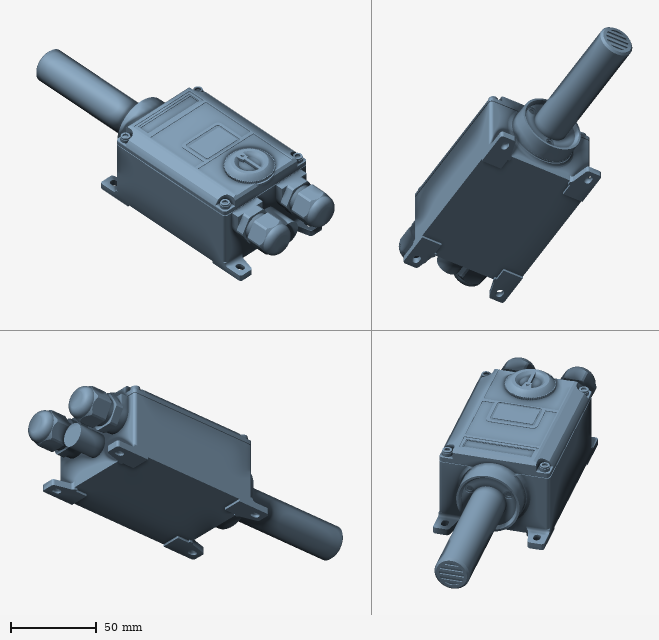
import cadquery as cq
import math


HOUSING_X0 = 91.0
HOUSING_X1 = 182.4
HOUSING_LENGTH = HOUSING_X1 - HOUSING_X0
HOUSING_MID_X = (HOUSING_X0 + HOUSING_X1) / 2
WIDTH = 67.3
HALF_WIDTH = WIDTH / 2
FLOOR_Z = 1.5
SEAM_Z = 41.7
SEAM_HEIGHT = 0.6
SEAM_DEPTH = 0.5
CORNER_RADIUS = 2.1
LID_TOP_Z = 51.3
LID_SIDE_Z = 44.7
LID_SHOULDER_INSET = 2.5
LID_SHOULDER_Z = 48.3
LID_BULGE_INSET = 1.0
LID_KINK_INSET = 8.8
LID_KINK_Z = 50.9
LID_TOP_INSET = 10.3
LID_END_CHAMFER = 2.0

SCREW_INSET = 4.0
SCREW_POCKET_DIAMETER = 8.5
SCREW_POCKET_Z = 45.1
SCREW_FLANGE_DIAMETER = 6.2
SCREW_HEAD_DIAMETER = 5.5
SCREW_HEAD_Z = 48.3
SCREW_FLANGE_HEIGHT = 2.1
SCREW_SOCKET_DIAMETER = 3.5
SCREW_SOCKET_DEPTH = 1.3

PANEL_DEPTH = 0.5
PANEL_HALF_WIDTH = 22.7
LABEL_PANEL_X = (95.1, 107.0)
LABEL_WINDOW_X = (96.6, 105.0)
LABEL_X = (98.0, 104.8)
LABEL_WINDOW_HALF_WIDTH = 21.0
LABEL_HALF_WIDTH = 20.5
MIDDLE_PANEL_X = (108.8, 146.0)
KNOB_PANEL_X = (148.4, 180.9)
BUTTON_PAD_X = (126.1, 147.5)
BUTTON_PAD_HALF_WIDTH = 15.6
BUTTON_PAD_RADIUS = 3.0
BUTTON_SEAT_X = (128.0, 147.5)
BUTTON_SEAT_HALF_WIDTH = 13.7
BUTTON_SEAT_RADIUS = 2.1
BUTTON_X = (130.2, 145.8)
BUTTON_HALF_WIDTH = 12.5
BUTTON_RADIUS = 1.0

FOOT_REACH = 13.0
FOOT_HEIGHT = 4.0
FOOT_TIP_WIDTH = 9.6
FOOT_ROOT_WIDTH = 12.8
FOOT_ROOT_FLARE = 1.3
FOOT_CORNER_RADIUS = 1.7
FOOT_FILLET_RADIUS = 2.1
PAD_UNDER_HOUSING = 10.3
FOOT_SLOT_LENGTH = 6.0
FOOT_SLOT_WIDTH = 4.3
FOOT_SLOT_REACH = 6.8
FOOT_SLOT_INSET = 5.8

TUBE_Z = 27.0
TUBE_DIAMETER = 21.4
TUBE_TIP_DIAMETER = 18.8
GRILLE_DIAMETER = 15.0
GRILLE_PITCH = 3.5
GRILLE_SLOT_WIDTH = 1.7
GRILLE_DEPTH = 0.9
GRILLE_SLOTS_PER_SIDE = 2
COLLAR_X0 = 77.6
COLLAR_TIP_DIAMETER = 38.5
COLLAR_ROOT_DIAMETER = 39.3
COLLAR_STEP_DIAMETER = 40.6
COLLAR_STEP_LENGTH = 1.7
COLLAR_FLARE_DIAMETER = 45.0
COLLAR_FLARE_LENGTH = 2.8
COLLAR_RECESS_MOUTH = 36.0
COLLAR_RECESS_FLOOR = 33.0
COLLAR_RECESS_DEPTH = 2.1
COLLAR_SCREW_CIRCLE = 27.2
COLLAR_SCREW_DIAMETER = 5.5
COLLAR_SOCKET_DIAMETER = 3.5
COLLAR_SCREW_DEPTH = 0.6
COLLAR_SCREW_ANGLES = (30, 150, 270)

KNOB_X = 168.5
KNOB_TOP_Z = 56.0
KNOB_DIAMETER = 30.4
KNOB_FLANGE_Z = 49.0
KNOB_FLANGE_HEIGHT = 1.5
KNOB_GAP_DIAMETER = 28.2
KNURL_Z = 51.3
KNURL_HEIGHT = 1.7
KNURL_DEPTH = 0.6
KNURL_TEETH = 72
KNOB_TOP_DIAMETER = 22.2
KNOB_SHOULDER_DIAMETER = 26.0
KNOB_SHOULDER_Z = 54.7
DISH_DIAMETER = 18.0
DISH_FLOOR_DIAMETER = 12.6
DISH_DEPTH = 2.1
BAR_WIDTH = 2.0
POINTER_WIDTH = 6.0
POINTER_END_WIDTH = 3.8
POINTER_LENGTH = 5.5
MARK_RADIUS = 1.5
MARK_DEPTH = 0.9

GLAND_Y = 18.0
GLAND_Z = 31.5
GLAND_BOSS_WIDTH = 20.0
GLAND_BOSS_X1 = 187.5
GLAND_NUT_X1 = 192.6
GLAND_NECK_DIAMETER = 17.5
GLAND_CAP_X0 = 196.5
GLAND_CAP_X1 = 213.8
GLAND_FLATS = 20.0
GLAND_CORNERS = 22.5
GLAND_DOME_LENGTH = 5.1
GLAND_DOME_DIAMETER = 19.9
GLAND_BEVEL_LENGTH = 2.0
GLAND_DOME_FACE_DIAMETER = 11.1
STUB_DIAMETER = 15.0
STUB_Z = 20.7
STUB_X1 = 201.2


def box(x_range, half_width, z0, z1, radius=0):
    """Box over an X range, centred on Y, with optional round vertical edges."""
    length = x_range[1] - x_range[0]
    solid = cq.Workplane("XY").box(length, 2 * half_width, z1 - z0, centered=(False, True, False))
    if radius:
        solid = solid.edges("|Z").fillet(radius)
    return solid.translate((x_range[0], 0, z0))


def rod(x0, x1, y, z, diameter):
    """Cylinder along X."""
    return cq.Workplane("YZ", origin=(x0, y, z)).circle(diameter / 2).extrude(x1 - x0)


def post(x, y, z0, z1, diameter):
    """Cylinder along Z."""
    return cq.Workplane("XY", origin=(x, y, z0)).circle(diameter / 2).extrude(z1 - z0)


def make_base():
    span = (HOUSING_X0, HOUSING_X1)
    body = box(span, HALF_WIDTH, FLOOR_Z, SEAM_Z, CORNER_RADIUS)
    neck_span = (HOUSING_X0 + SEAM_DEPTH, HOUSING_X1 - SEAM_DEPTH)
    neck = box(neck_span, HALF_WIDTH - SEAM_DEPTH, SEAM_Z, SEAM_Z + SEAM_HEIGHT, CORNER_RADIUS)
    return body.union(neck)


def make_lid():
    bulge_z = (LID_SIDE_Z + LID_SHOULDER_Z) / 2
    lid = (
        cq.Workplane("YZ", origin=(HOUSING_X0, 0, 0))
        .moveTo(0, SEAM_Z + SEAM_HEIGHT)
        .lineTo(HALF_WIDTH, SEAM_Z + SEAM_HEIGHT)
        .lineTo(HALF_WIDTH, LID_SIDE_Z)
        .threePointArc(
            (HALF_WIDTH - LID_BULGE_INSET, bulge_z),
            (HALF_WIDTH - LID_SHOULDER_INSET, LID_SHOULDER_Z),
        )
        .lineTo(HALF_WIDTH - LID_KINK_INSET, LID_KINK_Z)
        .lineTo(HALF_WIDTH - LID_TOP_INSET, LID_TOP_Z)
        .lineTo(0, LID_TOP_Z)
        .close()
        .extrude(HOUSING_LENGTH)
    )
    lid = lid.union(lid.mirror("XZ"))
    envelope = (
        box((HOUSING_X0, HOUSING_X1), HALF_WIDTH, SEAM_Z, LID_TOP_Z, CORNER_RADIUS)
        .faces(">Z").edges("|Y").chamfer(LID_END_CHAMFER)
    )
    lid = lid.intersect(envelope)
    for x_side in (-1, 1):
        for y_side in (-1, 1):
            lid = add_lid_screw(lid, x_side, y_side)
    return cut_panels(lid)


def add_lid_screw(lid, x_side, y_side):
    """Corner pocket, open towards both outer walls, with a flanged socket-head screw in it."""
    x = HOUSING_MID_X + x_side * (HOUSING_LENGTH / 2 - SCREW_INSET)
    y = y_side * (HALF_WIDTH - SCREW_INSET)
    radius = SCREW_POCKET_DIAMETER / 2
    height = LID_TOP_Z - SCREW_POCKET_Z
    pocket = post(x, y, SCREW_POCKET_Z, LID_TOP_Z, SCREW_POCKET_DIAMETER)
    to_end = cq.Workplane("XY").box(radius, 2 * radius, height, centered=(True, True, False))
    to_side = cq.Workplane("XY").box(2 * radius, radius, height, centered=(True, True, False))
    pocket = pocket.union(to_end.translate((x + x_side * radius / 2, y, SCREW_POCKET_Z)))
    pocket = pocket.union(to_side.translate((x, y + y_side * radius / 2, SCREW_POCKET_Z)))
    flange_top = SCREW_POCKET_Z + SCREW_FLANGE_HEIGHT
    flange = post(x, y, SCREW_POCKET_Z, flange_top, SCREW_FLANGE_DIAMETER)
    head = post(x, y, flange_top, SCREW_HEAD_Z, SCREW_HEAD_DIAMETER)
    socket = post(x, y, SCREW_HEAD_Z - SCREW_SOCKET_DEPTH, SCREW_HEAD_Z, SCREW_SOCKET_DIAMETER)
    return lid.cut(pocket).union(flange).union(head).cut(socket)


def cut_panels(lid):
    """Shallow panels in the lid top, a label window and a framed button."""
    panel_z = LID_TOP_Z - PANEL_DEPTH
    deep_z = panel_z - PANEL_DEPTH
    button_pad = box(BUTTON_PAD_X, BUTTON_PAD_HALF_WIDTH, deep_z, LID_TOP_Z, BUTTON_PAD_RADIUS)
    middle_panel = box(MIDDLE_PANEL_X, PANEL_HALF_WIDTH, panel_z, LID_TOP_Z).cut(button_pad)
    button_seat = box(BUTTON_SEAT_X, BUTTON_SEAT_HALF_WIDTH, panel_z, LID_TOP_Z, BUTTON_SEAT_RADIUS)
    button = box(BUTTON_X, BUTTON_HALF_WIDTH, panel_z, LID_TOP_Z, BUTTON_RADIUS)
    return (
        lid.cut(box(LABEL_PANEL_X, PANEL_HALF_WIDTH, panel_z, LID_TOP_Z))
        .cut(box(LABEL_WINDOW_X, LABEL_WINDOW_HALF_WIDTH, deep_z, LID_TOP_Z))
        .cut(box(LABEL_X, LABEL_HALF_WIDTH, deep_z - PANEL_DEPTH, LID_TOP_Z))
        .cut(box(KNOB_PANEL_X, PANEL_HALF_WIDTH, panel_z, LID_TOP_Z))
        .cut(middle_panel)
        .cut(button_seat)
        .union(button)
    )


def make_foot():
    """Foot at the low-X, low-Y corner, running on under the housing as a thin pad."""
    tip_x = HOUSING_X0 - FOOT_REACH
    root_x = HOUSING_X0 + CORNER_RADIUS
    outer_y = -HALF_WIDTH
    inner_y = outer_y + FOOT_ROOT_WIDTH
    flare_x = HOUSING_X0 - FOOT_ROOT_FLARE
    plan = (
        cq.Workplane("XY")
        .polyline([
            (tip_x, outer_y),
            (root_x, outer_y),
            (root_x, inner_y + FOOT_ROOT_FLARE),
            (HOUSING_X0, inner_y + FOOT_ROOT_FLARE),
            (flare_x, inner_y),
            (tip_x, outer_y + FOOT_TIP_WIDTH),
        ])
        .close()
        .extrude(FOOT_HEIGHT + FOOT_FILLET_RADIUS)
        .edges("|Z and <X").fillet(FOOT_CORNER_RADIUS)
    )
    slot = (
        cq.Workplane("XY", origin=(HOUSING_X0 - FOOT_SLOT_REACH, outer_y + FOOT_SLOT_INSET, 0))
        .slot2D(FOOT_SLOT_LENGTH, FOOT_SLOT_WIDTH)
        .extrude(FOOT_HEIGHT)
    )
    pad = cq.Workplane("XY").box(
        PAD_UNDER_HOUSING, FOOT_ROOT_WIDTH, FOOT_HEIGHT, centered=False
    ).translate((HOUSING_X0, outer_y, 0))
    fillet_start_x = HOUSING_X0 - FOOT_FILLET_RADIUS
    diagonal = FOOT_FILLET_RADIUS * math.sqrt(0.5)
    side_profile = (
        cq.Workplane("XZ", origin=(0, outer_y, 0))
        .moveTo(tip_x, 0)
        .lineTo(tip_x, FOOT_HEIGHT)
        .lineTo(fillet_start_x, FOOT_HEIGHT)
        .threePointArc(
            (fillet_start_x + diagonal, FOOT_HEIGHT + FOOT_FILLET_RADIUS - diagonal),
            (HOUSING_X0, FOOT_HEIGHT + FOOT_FILLET_RADIUS),
        )
        .lineTo(root_x, FOOT_HEIGHT + FOOT_FILLET_RADIUS)
        .lineTo(root_x, 0)
        .close()
        .extrude(-HALF_WIDTH)
    )
    return plan.intersect(side_profile).cut(slot).union(pad)


def make_feet():
    foot = make_foot()
    pair = foot.union(foot.mirror("XZ"))
    return pair.union(pair.mirror("YZ", basePointVector=(HOUSING_MID_X, 0, 0)))


def make_collar():
    """Tapered collar with a stepped flare, a shallow conical recess and three screw seats."""
    step_radius = COLLAR_STEP_DIAMETER / 2
    step_x = HOUSING_X0 - COLLAR_STEP_LENGTH
    flare_x = HOUSING_X0 - COLLAR_FLARE_LENGTH
    root_radius = COLLAR_ROOT_DIAMETER / 2
    flare_radius = COLLAR_FLARE_DIAMETER / 2
    flare_rise = flare_radius - step_radius
    diagonal = math.sqrt(0.5)
    floor_x = COLLAR_X0 + COLLAR_RECESS_DEPTH
    axis_start = (0, 0, 0)
    axis_end = (1, 0, 0)
    cone = (
        cq.Workplane("XZ")
        .moveTo(floor_x, 0)
        .lineTo(floor_x, COLLAR_RECESS_FLOOR / 2)
        .lineTo(COLLAR_X0, COLLAR_RECESS_MOUTH / 2)
        .lineTo(COLLAR_X0, COLLAR_TIP_DIAMETER / 2)
        .lineTo(HOUSING_X0, root_radius)
        .lineTo(HOUSING_X0, 0)
        .close()
        .revolve(360, axis_start, axis_end)
        .translate((0, 0, TUBE_Z))
    )
    flare_ring = (
        cq.Workplane("XZ")
        .moveTo(flare_x, 0)
        .lineTo(flare_x, root_radius)
        .lineTo(step_x, root_radius)
        .lineTo(step_x, step_radius)
        .threePointArc(
            (step_x + COLLAR_STEP_LENGTH * diagonal, step_radius + flare_rise * (1 - diagonal)),
            (HOUSING_X0, flare_radius),
        )
        .lineTo(HOUSING_X0, 0)
        .close()
        .revolve(360, axis_start, axis_end)
        .translate((0, 0, TUBE_Z))
    )
    below_seam = box((COLLAR_X0, HOUSING_X0), HALF_WIDTH, 0, SEAM_Z)
    collar = cone.union(flare_ring.intersect(below_seam))
    for angle in COLLAR_SCREW_ANGLES:
        y = COLLAR_SCREW_CIRCLE / 2 * math.cos(math.radians(angle))
        z = TUBE_Z + COLLAR_SCREW_CIRCLE / 2 * math.sin(math.radians(angle))
        seat_x = floor_x + COLLAR_SCREW_DEPTH
        collar = collar.cut(rod(floor_x, seat_x, y, z, COLLAR_SCREW_DIAMETER))
        collar = collar.cut(rod(seat_x, seat_x + COLLAR_SCREW_DEPTH, y, z, COLLAR_SOCKET_DIAMETER))
    return collar


def make_tube():
    """Sensor tube with a slotted grille in its bevelled tip."""
    tube = rod(0, HOUSING_X0, 0, TUBE_Z, TUBE_DIAMETER)
    tube = tube.faces("<X").chamfer((TUBE_DIAMETER - TUBE_TIP_DIAMETER) / 2)
    grille_area = rod(0, GRILLE_DEPTH, 0, TUBE_Z, GRILLE_DIAMETER)
    for row in range(-GRILLE_SLOTS_PER_SIDE, GRILLE_SLOTS_PER_SIDE + 1):
        z0 = TUBE_Z + row * GRILLE_PITCH - GRILLE_SLOT_WIDTH / 2
        slot = box((0, GRILLE_DEPTH), GRILLE_DIAMETER, z0, z0 + GRILLE_SLOT_WIDTH)
        tube = tube.cut(slot.intersect(grille_area))
    return tube


def make_knurl():
    points = []
    for i in range(2 * KNURL_TEETH):
        radius = KNOB_DIAMETER / 2 - KNURL_DEPTH * (i % 2)
        angle = math.pi * i / KNURL_TEETH
        points.append((radius * math.cos(angle), radius * math.sin(angle)))
    return cq.Workplane("XY", origin=(0, 0, KNURL_Z)).polyline(points).close().extrude(KNURL_HEIGHT)


def make_knob():
    cone_z = KNURL_Z + KNURL_HEIGHT
    inner_radius = KNOB_DIAMETER / 2 - KNURL_DEPTH
    dish_z = KNOB_TOP_Z - DISH_DEPTH
    dish_radius = DISH_DIAMETER / 2
    cap = (
        cq.Workplane("XZ")
        .moveTo(0, cone_z)
        .lineTo(inner_radius, cone_z)
        .threePointArc(
            (KNOB_SHOULDER_DIAMETER / 2, KNOB_SHOULDER_Z),
            (KNOB_TOP_DIAMETER / 2, KNOB_TOP_Z),
        )
        .lineTo(dish_radius, KNOB_TOP_Z)
        .lineTo(DISH_FLOOR_DIAMETER / 2, dish_z)
        .lineTo(0, dish_z)
        .close()
        .revolve(360, (0, 0, 0), (0, 1, 0))
    )
    pointer_end = POINTER_LENGTH - dish_radius
    handle = (
        cq.Workplane("XY", origin=(0, 0, dish_z))
        .polyline([
            (-dish_radius, -POINTER_WIDTH / 2),
            (pointer_end, -POINTER_END_WIDTH / 2),
            (pointer_end, -BAR_WIDTH / 2),
            (dish_radius, -BAR_WIDTH / 2),
            (dish_radius, BAR_WIDTH / 2),
            (pointer_end, BAR_WIDTH / 2),
            (pointer_end, POINTER_END_WIDTH / 2),
            (-dish_radius, POINTER_WIDTH / 2),
        ])
        .close()
        .extrude(DISH_DEPTH)
    )
    mark = (
        cq.Workplane("XY", origin=(0, 0, KNOB_TOP_Z - MARK_DEPTH))
        .polygon(3, 2 * MARK_RADIUS)
        .extrude(MARK_DEPTH)
        .rotate((0, 0, 0), (0, 0, 1), 180)
        .translate((POINTER_LENGTH / 2 - dish_radius, 0, 0))
    )
    flange_top = KNOB_FLANGE_Z + KNOB_FLANGE_HEIGHT
    knob = (
        cap.union(handle)
        .cut(mark)
        .union(make_knurl())
        .union(post(0, 0, flange_top, KNURL_Z, KNOB_GAP_DIAMETER))
        .union(post(0, 0, KNOB_FLANGE_Z, flange_top, KNOB_DIAMETER))
    )
    return knob.translate((KNOB_X, 0, 0))


def hex_bar(x0, x1):
    """Hexagonal bar on the gland axis, corners pointing along Y."""
    across_points = GLAND_FLATS / math.cos(math.pi / 6)
    return cq.Workplane("YZ", origin=(x0, 0, GLAND_Z)).polygon(6, across_points).extrude(x1 - x0)


def make_gland():
    """Cable gland: square-topped boss, trimmed hex nut, neck and domed hex cap."""
    boss_radius = GLAND_BOSS_WIDTH / 2
    boss = rod(HOUSING_X1, GLAND_BOSS_X1, 0, GLAND_Z, GLAND_BOSS_WIDTH)
    boss = boss.union(box((HOUSING_X1, GLAND_BOSS_X1), boss_radius, GLAND_Z, GLAND_Z + boss_radius))
    nut_round = rod(GLAND_BOSS_X1, GLAND_NUT_X1, 0, GLAND_Z, GLAND_CORNERS)
    nut = hex_bar(GLAND_BOSS_X1, GLAND_NUT_X1).intersect(nut_round)
    neck = rod(GLAND_NUT_X1, GLAND_CAP_X0, 0, GLAND_Z, GLAND_NECK_DIAMETER)
    corner_radius = GLAND_CORNERS / 2
    dome_radius = GLAND_DOME_DIAMETER / 2
    face_radius = GLAND_DOME_FACE_DIAMETER / 2
    dome_x = GLAND_CAP_X1 - GLAND_DOME_LENGTH
    diagonal = math.sqrt(0.5)
    dome_mid = (
        dome_x + GLAND_DOME_LENGTH * diagonal,
        face_radius + (dome_radius - face_radius) * diagonal,
    )
    cap_round = (
        cq.Workplane("XZ")
        .moveTo(GLAND_CAP_X0, 0)
        .lineTo(GLAND_CAP_X0, corner_radius)
        .lineTo(dome_x - GLAND_BEVEL_LENGTH, corner_radius)
        .lineTo(dome_x, dome_radius)
        .threePointArc(dome_mid, (GLAND_CAP_X1, face_radius))
        .lineTo(GLAND_CAP_X1, 0)
        .close()
        .revolve(360, (0, 0, 0), (1, 0, 0))
        .translate((0, 0, GLAND_Z))
    )
    cap = hex_bar(GLAND_CAP_X0, GLAND_CAP_X1).intersect(cap_round)
    return boss.union(nut).union(neck).union(cap)


gland = make_gland()
result = (
    make_base()
    .union(make_lid())
    .union(make_feet())
    .union(make_collar())
    .union(make_tube())
    .union(make_knob())
    .union(gland.translate((0, GLAND_Y, 0)))
    .union(gland.translate((0, -GLAND_Y, 0)))
    .union(rod(HOUSING_X1, STUB_X1, 0, STUB_Z, STUB_DIAMETER))
)